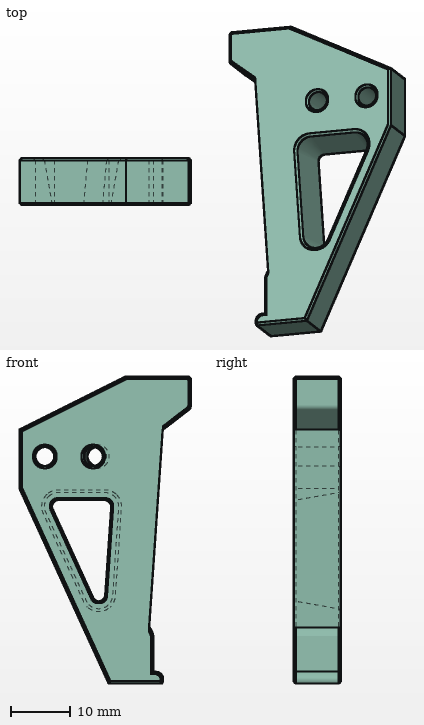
import math

import cadquery as cq

length = 29.0
thickness = 8.0
height = 52.0
edge_chamfer = 0.4

left_edge_bottom = 33.0
left_edge_top = 43.0
top_edge_start = 18.0
bottom_edge_start = 15.1

nose_tip_z = 46.65
nose_root = (24.25, 43.0)
nose_corner_chamfer = 0.4
nose_fillet = 1.0

back_edge_end = (21.95, 9.5)
pad_x = 22.65
pad_top_z = 8.0
pad_shoulder_sag = 0.12

foot_top_z = 2.0
foot_radius = 1.3
foot_center = (23.0, foot_top_z - foot_radius)

window_top_z = 31.0
front_wall = 3.7
back_wall = 7.9
window_fillet = 1.0
window_draft = 10.0

hole_diameter = 3.2
hole_z = 38.45
straight_hole_x = 4.27
leaning_hole_x = 12.45
lean_angle = 5.0


def chamfer_outline(plate):
    """Chamfer the outline on both faces, leaving the sloping back edge sharp."""
    rims = plate.faces("<Y or >Y").edges()
    middle_x = (nose_root[0] + back_edge_end[0]) / 2
    middle_z = (nose_root[1] + back_edge_end[1]) / 2
    for y in (0, thickness):
        back_edge = cq.selectors.NearestToPointSelector((middle_x, y, middle_z))
        rims = rims.edges(cq.selectors.InverseSelector(back_edge))
    return rims.chamfer(edge_chamfer)


def midpoint_with_sag(start, end, sag):
    """Point beside the middle of a chord, on the left of its direction from start to end."""
    dx = end[0] - start[0]
    dz = end[1] - start[1]
    chord = math.hypot(dx, dz)
    middle_x = (start[0] + end[0]) / 2 - sag * dz / chord
    middle_z = (start[1] + end[1]) / 2 + sag * dx / chord
    return (middle_x, middle_z)


def x_on_line(start, end, z, offset=0.0):
    """X at height z on the line start-end moved sideways by offset (+X is positive)."""
    run_per_rise = (end[0] - start[0]) / (end[1] - start[1])
    shift = offset * math.hypot(1, run_per_rise)
    return start[0] + run_per_rise * (z - start[1]) + shift


def make_plate():
    pad_top = (pad_x, pad_top_z)
    foot_half_width = math.sqrt(foot_radius**2 - foot_center[1] ** 2)
    foot_arc_start = (foot_center[0], foot_top_z)
    foot_arc_middle = (foot_center[0] + foot_radius, foot_center[1])
    foot_arc_end = (foot_center[0] + foot_half_width, 0)
    outline = (
        cq.Workplane("XZ")
        .moveTo(0, left_edge_bottom)
        .lineTo(0, left_edge_top)
        .lineTo(top_edge_start, height)
        .lineTo(length, height)
        .lineTo(length, nose_tip_z)
        .lineTo(*nose_root)
        .lineTo(*back_edge_end)
        .threePointArc(midpoint_with_sag(back_edge_end, pad_top, pad_shoulder_sag), pad_top)
        .lineTo(pad_x, foot_top_z)
        .lineTo(*foot_arc_start)
        .threePointArc(foot_arc_middle, foot_arc_end)
        .lineTo(bottom_edge_start, 0)
        .close()
    )
    plate = outline.extrude(-thickness)
    middle_y = thickness / 2
    nose_corner = cq.selectors.NearestToPointSelector((length, middle_y, height))
    plate = plate.edges("|Y").edges(nose_corner).chamfer(nose_corner_chamfer)
    nose_tip = cq.selectors.NearestToPointSelector((length, middle_y, nose_tip_z))
    plate = plate.edges("|Y").edges(nose_tip).fillet(nose_fillet)
    return chamfer_outline(plate)


def window_corners():
    front_edge = ((0, left_edge_bottom), (bottom_edge_start, 0))
    back_edge = (nose_root, back_edge_end)

    def front_x(z):
        return x_on_line(*front_edge, z, front_wall)

    def back_x(z):
        return x_on_line(*back_edge, z, -back_wall)

    top_width = back_x(window_top_z) - front_x(window_top_z)
    width_at_zero = back_x(0) - front_x(0)
    apex_z = -width_at_zero * window_top_z / (top_width - width_at_zero)
    return [
        (front_x(window_top_z), window_top_z),
        (back_x(window_top_z), window_top_z),
        (front_x(apex_z), apex_z),
    ]


def cut_window(plate):
    corners = window_corners()
    outline = cq.Sketch().polygon(corners + corners[:1]).vertices().fillet(window_fillet)
    window = cq.Workplane("XZ").placeSketch(outline).extrude(-thickness, taper=-window_draft)
    return plate.cut(window)


def cut_hole(plate, x, lean=0.0):
    """Hole whose axis meets the front face at x and leans by an angle towards +X."""
    overrun = hole_diameter
    axis = cq.Vector(math.sin(math.radians(lean)), math.cos(math.radians(lean)), 0)
    start = cq.Vector(x, 0, hole_z) - axis * overrun
    bore_length = thickness / axis.y + 2 * overrun
    bore = cq.Solid.makeCylinder(hole_diameter / 2, bore_length, start, axis)
    return plate.cut(cq.Workplane(obj=bore))


def chamfer_inner_rims(plate):
    """Chamfer the rims of the window and holes on both faces."""
    for side in ("<Y", ">Y"):
        rims = [edge for wire in plate.faces(side).val().innerWires() for edge in wire.Edges()]
        plate = plate.newObject(rims).chamfer(edge_chamfer)
    return plate


plate = make_plate()
plate = cut_window(plate)
plate = cut_hole(plate, straight_hole_x)
plate = cut_hole(plate, leaning_hole_x, lean_angle)
result = chamfer_inner_rims(plate)